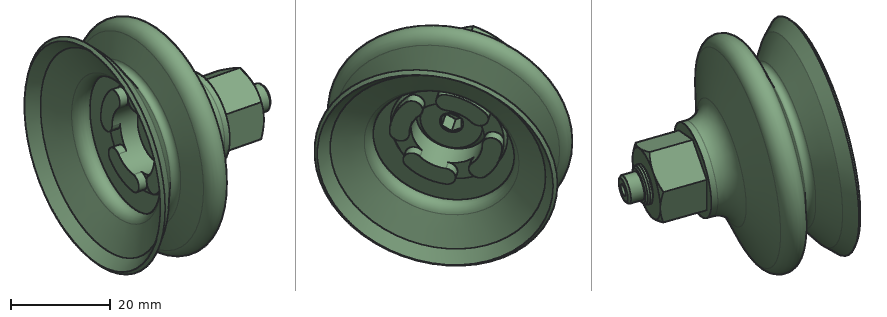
import cadquery as cq
import math

TOTAL_LENGTH = 41.5

NECK_RADIUS = 10.0
NECK_END_Y = 26.5
NECK_START_Y = 25.15
SHOULDER_RADIUS = 13.4
SHOULDER_Y = 20.4
BULGE_MAX_RADIUS = 25.0
BULGE_ROUND = 3.0
BULGE_Y = 14.0
BULGE_CONE_ANGLE = math.radians(19.5)
WAIST_RADIUS = 16.8
WAIST_Y = 8.05
WAIST_TOP = (17.7, 9.25)
WAIST_BOTTOM = (17.4, 7.0)
SKIRT_BEND = (22.45, 3.25)
LIP_RADIUS = 24.9
LIP_Y = 0.65

MOUTH_RADIUS = 24.15
INNER_BEND = (22.05, 2.5)
THROAT_BOTTOM = (15.85, 5.75)
THROAT_WAIST = (14.5, 8.05)
THROAT_TOP = (16.25, 10.4)
CAVITY_RADIUS = 22.0
CAVITY_EDGE_Y = 12.1
CEILING_Y = 13.0

CORE_FACE_RADIUS = 11.5
CORE_BASE_RADIUS = 12.0
CORE_FACE_Y = 11.9
BORE_RADIUS = 7.5
BORE_FLOOR_RADIUS = 6.35
BORE_FLOOR_Y = 15.3
BORE_END_Y = 16.45
PAD_HEIGHT = 2.0
PAD_COUNT = 4
PAD_START_ANGLE = 45.0
PAD_SWEEP = 45.0

HEX_ACROSS_FLATS = 15.0
HEX_END_Y = 36.5
HEX_CHAMFER_ANGLE = math.radians(30)
STUD_RADIUS = 3.0
STUD_CHAMFER = 0.5
SEAL_RADIUS = 4.2
SEAL_GROOVE_RADIUS = 7.25 / 2
SEAL_START_Y = 36.8
SEAL_EDGE_Y = 37.3
SEAL_SLOPE = (4.0, 37.8)
SEAL_END_Y = 38.15

AIR_HOLE_DIAMETER = 2.5
SOCKET_ACROSS_FLATS = 4.0
SOCKET_DEPTH = 4.0
SOCKET_MOUTH_RADIUS = 2.4
SOCKET_MOUTH_DEPTH = 0.25


def y_plane(y):
    """Sketch plane at height y: local x is X, local y is Z, extrusion runs toward -Y."""
    return cq.Workplane("XZ", origin=(0, y, 0))


def revolve_about_y(profile):
    return profile.close().revolve(360, (0, 0, 0), (0, 1, 0))


def frustum(start_radius, start_y, end_radius, end_y):
    """Cone or cylinder on the part axis."""
    points = [(0, start_y), (start_radius, start_y), (end_radius, end_y), (0, end_y)]
    return revolve_about_y(cq.Workplane("XY").polyline(points))


def hexagonal_prism(across_flats, start_y, end_y):
    """Hexagon with two flats facing along X and corners along Z."""
    corner_diameter = across_flats / math.cos(math.pi / 6)
    prism = y_plane(end_y).polygon(6, corner_diameter).extrude(end_y - start_y)
    return prism.rotate((0, 0, 0), (0, 1, 0), 30)


def bellows():
    ring_radius = BULGE_MAX_RADIUS - BULGE_ROUND
    tangent_radius = ring_radius + BULGE_ROUND * math.sin(BULGE_CONE_ANGLE)
    tangent_rise = BULGE_ROUND * math.cos(BULGE_CONE_ANGLE)
    lower_bulge = (tangent_radius, BULGE_Y - tangent_rise)
    profile = (
        cq.Workplane("XY")
        .moveTo(0, NECK_END_Y)
        .lineTo(NECK_RADIUS, NECK_END_Y)
        .lineTo(NECK_RADIUS, NECK_START_Y)
        .tangentArcPoint((SHOULDER_RADIUS, SHOULDER_Y), relative=False)
        .lineTo(tangent_radius, BULGE_Y + tangent_rise)
        .threePointArc((BULGE_MAX_RADIUS, BULGE_Y), lower_bulge)
        .lineTo(*WAIST_TOP)
        .threePointArc((WAIST_RADIUS, WAIST_Y), WAIST_BOTTOM)
        .lineTo(*SKIRT_BEND)
        .lineTo(LIP_RADIUS, LIP_Y)
        .lineTo(MOUTH_RADIUS, 0)
        .lineTo(*INNER_BEND)
        .lineTo(*THROAT_BOTTOM)
        .threePointArc(THROAT_WAIST, THROAT_TOP)
        .lineTo(CAVITY_RADIUS, CAVITY_EDGE_Y)
        .lineTo(CAVITY_RADIUS, CEILING_Y)
        .lineTo(0, CEILING_Y)
    )
    return revolve_about_y(profile)


def hex_body():
    body = hexagonal_prism(HEX_ACROSS_FLATS, NECK_END_Y, HEX_END_Y)
    flat_radius = HEX_ACROSS_FLATS / 2
    height = HEX_END_Y - NECK_END_Y
    base_radius = flat_radius + height / math.tan(HEX_CHAMFER_ANGLE)
    return body.intersect(frustum(base_radius, NECK_END_Y, flat_radius, HEX_END_Y))


def stud():
    profile = (
        cq.Workplane("XY")
        .moveTo(0, HEX_END_Y)
        .lineTo(SEAL_GROOVE_RADIUS, HEX_END_Y)
        .lineTo(SEAL_GROOVE_RADIUS, SEAL_START_Y)
        .lineTo(SEAL_RADIUS, SEAL_START_Y)
        .lineTo(SEAL_RADIUS, SEAL_EDGE_Y)
        .lineTo(*SEAL_SLOPE)
        .lineTo(SEAL_GROOVE_RADIUS, SEAL_END_Y)
        .lineTo(STUD_RADIUS, SEAL_END_Y)
        .lineTo(STUD_RADIUS, TOTAL_LENGTH - STUD_CHAMFER)
        .lineTo(STUD_RADIUS - STUD_CHAMFER, TOTAL_LENGTH)
        .lineTo(0, TOTAL_LENGTH)
    )
    return revolve_about_y(profile)


def polar(radius, degrees):
    angle = math.radians(degrees)
    return (radius * math.cos(angle), radius * math.sin(angle))


def pad(start_angle):
    """Curved, round-ended pad standing on the core disc."""
    end_angle = start_angle + PAD_SWEEP
    mid_angle = start_angle + PAD_SWEEP / 2
    mid_radius = (BORE_RADIUS + CORE_FACE_RADIUS) / 2
    cap_radius = (CORE_FACE_RADIUS - BORE_RADIUS) / 2
    start_x, start_z = polar(mid_radius, start_angle)
    end_x, end_z = polar(mid_radius, end_angle)
    start_dx, start_dz = polar(cap_radius, start_angle - 90)
    end_dx, end_dz = polar(cap_radius, end_angle + 90)
    return (
        y_plane(CORE_FACE_Y)
        .moveTo(*polar(CORE_FACE_RADIUS, start_angle))
        .threePointArc(polar(CORE_FACE_RADIUS, mid_angle), polar(CORE_FACE_RADIUS, end_angle))
        .threePointArc((end_x + end_dx, end_z + end_dz), polar(BORE_RADIUS, end_angle))
        .threePointArc(polar(BORE_RADIUS, mid_angle), polar(BORE_RADIUS, start_angle))
        .threePointArc((start_x + start_dx, start_z + start_dz), polar(CORE_FACE_RADIUS, start_angle))
        .close()
        .extrude(PAD_HEIGHT)
    )


def bore():
    """Straight bore whose floor is the chamfered end of the fitting."""
    cylinder = frustum(BORE_RADIUS, CORE_FACE_Y, BORE_RADIUS, BORE_END_Y)
    return cylinder.cut(frustum(BORE_FLOOR_RADIUS, BORE_FLOOR_Y, BORE_RADIUS, BORE_END_Y))


def air_passage():
    hole = frustum(AIR_HOLE_DIAMETER / 2, BORE_FLOOR_Y, AIR_HOLE_DIAMETER / 2, TOTAL_LENGTH)
    socket = hexagonal_prism(SOCKET_ACROSS_FLATS, BORE_FLOOR_Y, BORE_FLOOR_Y + SOCKET_DEPTH)
    socket_mouth_end = BORE_FLOOR_Y + SOCKET_MOUTH_DEPTH
    mouth = frustum(SOCKET_MOUTH_RADIUS, BORE_FLOOR_Y, SOCKET_MOUTH_RADIUS, socket_mouth_end)
    return hole.union(socket).union(mouth)


result = bellows().union(hex_body()).union(stud())
result = result.union(frustum(CORE_FACE_RADIUS, CORE_FACE_Y, CORE_BASE_RADIUS, CEILING_Y))
result = result.cut(bore())
result = result.cut(air_passage())
for index in range(PAD_COUNT):
    result = result.union(pad(PAD_START_ANGLE + index * 360 / PAD_COUNT))